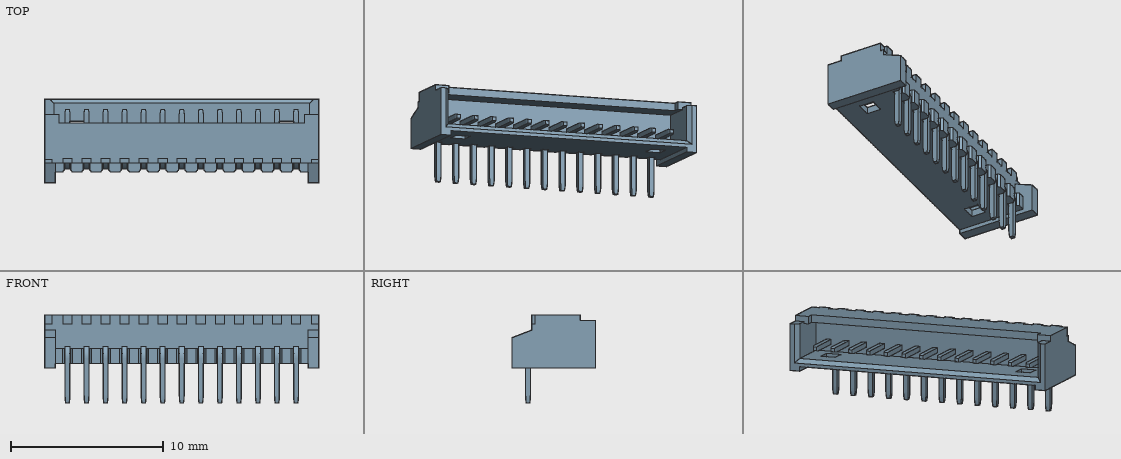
import cadquery as cq
import math


pin_count = 13
pitch = 1.25
pin_width = 0.33
half_pin = pin_width / 2
pin_positions = [(i - (pin_count - 1) / 2) * pitch for i in range(pin_count)]
bay_positions = [x + pitch / 2 for x in pin_positions[:-1]]

length = 18.0
depth = 5.5
height = 3.5
half_length = length / 2
side_wall = 0.7
underside_z = 0.3
front_wall_y = 1.3
wing_front_z = 2.0
wing_rear_z = 2.5

mouth_step = 1.0
mouth_wall_z = 3.13
roof_setback = 1.57
roof_corner_width = 0.93
cavity_front_y = 2.3
cavity_floor_z = 0.8
cavity_roof_z = 3.0
cavity_side_wall = 0.6
cavity_width = length - 2 * cavity_side_wall
mouth_chamfer = 0.27

window_width = 1.0
window_length = 1.0
window_setback = 1.47

notch_width = 0.6
notch_depth = 0.29
notch_height = 0.6
end_notch_width = 0.5
end_notch_depth = 0.22

rib_front_y = 0.7
rib_top_z = 1.3
rib_slot_width = 0.41
rib_bevel_x = 0.125
rib_bevel_y = 0.15

tail_y = 1.06
tail_end_z = -2.3
bend_end_z = 0.65
bend_outer_radius = 0.95
bend_inner_radius = bend_outer_radius - pin_width
contact_end_y = depth - 0.7
tip_half_width = 0.12
tip_middle_half_width = half_pin - (half_pin - tip_half_width) / 4
tail_tip_length = 0.5
contact_tip_length = 0.28


def box(x_range, y_range, z_range):
    """Box between the given limits on each axis."""
    (x0, x1), (y0, y1), (z0, z1) = x_range, y_range, z_range
    return cq.Workplane("XY").box(x1 - x0, y1 - y0, z1 - z0, centered=False).translate((x0, y0, z0))


def box_at_x(x, width, y_range, z_range):
    """Box centred at x along the row."""
    return box((x - width / 2, x + width / 2), y_range, z_range)


def make_shell():
    """Housing block with sloped end wings and a stepped mouth."""
    shell = (
        cq.Workplane("YZ")
        .moveTo(0, 0)
        .lineTo(depth, 0)
        .lineTo(depth, mouth_wall_z)
        .lineTo(depth - mouth_step, mouth_wall_z)
        .lineTo(depth - mouth_step, height)
        .lineTo(front_wall_y, height)
        .lineTo(front_wall_y, wing_rear_z)
        .lineTo(0, wing_front_z)
        .close()
        .extrude(half_length, both=True)
    )
    inner_width = length - 2 * side_wall
    shell = shell.cut(box_at_x(0, inner_width, (0, front_wall_y), (0, height)))
    return shell.cut(box_at_x(0, inner_width, (0, depth), (0, underside_z)))


def cut_mouth(body):
    """Hollow the housing and flare the floor and side walls at the mouth."""
    body = body.cut(box_at_x(0, cavity_width, (cavity_front_y, depth), (cavity_floor_z, cavity_roof_z)))
    open_top = (cavity_floor_z, height)
    body = body.cut(box_at_x(0, cavity_width, (depth - mouth_step, depth), open_top))
    roof_gap_width = length - 2 * roof_corner_width
    body = body.cut(box_at_x(0, roof_gap_width, (depth - roof_setback, depth), open_top))

    half_cavity = cavity_width / 2
    half_mouth = half_cavity + mouth_chamfer
    flare_plan = (
        cq.Workplane("XY")
        .polyline([
            (-half_cavity, depth - mouth_chamfer),
            (half_cavity, depth - mouth_chamfer),
            (half_mouth, depth),
            (-half_mouth, depth),
        ])
        .close()
        .extrude(height)
    )
    flare_side = (
        cq.Workplane("YZ")
        .polyline([
            (depth - mouth_chamfer, cavity_floor_z),
            (depth, cavity_floor_z - mouth_chamfer),
            (depth, height),
            (depth - mouth_chamfer, height),
        ])
        .close()
        .extrude(half_length, both=True)
    )
    return body.cut(flare_plan.intersect(flare_side))


def cut_windows(body):
    """Locking windows through the floor in the first and last bays."""
    rear_y = depth - window_setback
    y_range = (rear_y - window_length, rear_y)
    for x in (bay_positions[0], bay_positions[-1]):
        body = body.cut(box_at_x(x, window_width, y_range, (0, cavity_floor_z)))
    return body


def cut_notches(body):
    """Notches in the top front edge: one over each pin and one at each end."""
    z_range = (height - notch_height, height)
    for x in pin_positions:
        body = body.cut(box_at_x(x, notch_width, (front_wall_y, front_wall_y + notch_depth), z_range))
    for x in (-half_length, half_length):
        y_range = (front_wall_y, front_wall_y + end_notch_depth)
        body = body.cut(box_at_x(x, 2 * end_notch_width, y_range, z_range))
    return body


def make_ribs():
    """Bar along the front wall, slotted around each tail with a flared opening."""
    bar = box_at_x(0, length - 2 * side_wall, (rib_front_y, front_wall_y), (underside_z, rib_top_z))
    half_slot = rib_slot_width / 2
    half_opening = half_slot + rib_bevel_x
    bevel_y = rib_front_y + rib_bevel_y
    for x in pin_positions:
        slot = (
            cq.Workplane("XY")
            .polyline([
                (x - half_opening, rib_front_y),
                (x + half_opening, rib_front_y),
                (x + half_slot, bevel_y),
                (x + half_slot, front_wall_y),
                (x - half_slot, front_wall_y),
                (x - half_slot, bevel_y),
            ])
            .close()
            .extrude(rib_top_z)
        )
        bar = bar.cut(slot)
    return bar


def tip_profile(plane, tip_length):
    """Tapered tip with arched sides, pointing along the plane's local +Y, extruded symmetrically."""
    return (
        cq.Workplane(plane)
        .moveTo(-half_pin, 0)
        .threePointArc((-tip_middle_half_width, tip_length / 2), (-tip_half_width, tip_length))
        .lineTo(tip_half_width, tip_length)
        .threePointArc((tip_middle_half_width, tip_length / 2), (half_pin, 0))
        .close()
        .extrude(half_pin, both=True)
    )


def make_tip(tip_length):
    """Pin tip pointing along +Y, tapered on all four sides."""
    across = tip_profile("XY", tip_length)
    return across.intersect(across.rotate((0, 0, 0), (0, 1, 0), 90))


def make_pin():
    """Bent square pin at X = 0: vertical tail, quarter bend and horizontal contact."""
    tail_front_y = tail_y - half_pin
    tail_rear_y = tail_y + half_pin
    bend_y = tail_front_y + bend_outer_radius
    contact_top_z = bend_end_z + bend_outer_radius
    contact_bottom_z = contact_top_z - pin_width
    tail_tip_z = tail_end_z + tail_tip_length
    contact_tip_y = contact_end_y - contact_tip_length
    diagonal = math.cos(math.pi / 4)
    outer_mid = bend_outer_radius * diagonal
    inner_mid = bend_inner_radius * diagonal

    shank = (
        cq.Workplane("YZ")
        .moveTo(tail_front_y, tail_tip_z)
        .lineTo(tail_front_y, bend_end_z)
        .threePointArc((bend_y - outer_mid, bend_end_z + outer_mid), (bend_y, contact_top_z))
        .lineTo(contact_tip_y, contact_top_z)
        .lineTo(contact_tip_y, contact_bottom_z)
        .lineTo(bend_y, contact_bottom_z)
        .threePointArc((bend_y - inner_mid, bend_end_z + inner_mid), (tail_rear_y, bend_end_z))
        .lineTo(tail_rear_y, tail_tip_z)
        .close()
        .extrude(half_pin, both=True)
    )
    tail_tip = make_tip(tail_tip_length).rotate((0, 0, 0), (1, 0, 0), -90).translate((0, tail_y, tail_tip_z))
    contact_z = contact_top_z - half_pin
    contact_tip = make_tip(contact_tip_length).translate((0, contact_tip_y, contact_z))
    return shank.union(tail_tip).union(contact_tip)


housing = make_shell()
housing = cut_mouth(housing)
housing = cut_windows(housing)
housing = cut_notches(housing)
result = housing.union(make_ribs())

pin = make_pin()
for pin_x in pin_positions:
    result = result.union(pin.translate((pin_x, 0, 0)))